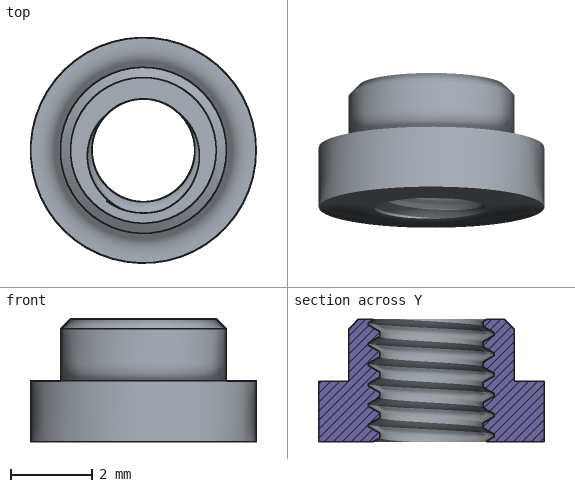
import cadquery as cq
import math

flange_diameter = 5.56
flange_height = 1.5
boss_diameter = 4.09
total_height = 3.03
boss_chamfer = 0.25

minor_diameter = 2.53
major_diameter = 3.09
pitch = 0.5
flank_half_angle = math.radians(30)
crest_land = pitch / 4
groove_centre_angle = -90
bore_overlap = 0.04
overrun_turns = 1

minor_radius = minor_diameter / 2
major_radius = major_diameter / 2


def body():
    """Solid round flange with a chamfered boss on top."""
    flange = cq.Workplane("XY").circle(flange_diameter / 2).extrude(flange_height)
    boss = cq.Workplane("XY").circle(boss_diameter / 2).extrude(total_height)
    boss = boss.faces(">Z").edges().chamfer(boss_chamfer)
    return flange.union(boss)


def bore():
    """Through bore at the thread's minor diameter."""
    return cq.Workplane("XY").circle(minor_radius).extrude(total_height)


def thread_cutter():
    """Helical trapezoid that runs past both ends of the bore."""
    turns = math.ceil(total_height / pitch) + 2 * overrun_turns
    start_z = total_height - (turns - overrun_turns) * pitch
    inner_radius = minor_radius - bore_overlap
    flank_slope = math.tan(flank_half_angle)
    bore_half_width = (pitch - crest_land) / 2
    root_half_width = bore_half_width - (major_radius - minor_radius) * flank_slope
    mouth_half_width = bore_half_width + bore_overlap * flank_slope
    path = cq.Wire.makeHelix(pitch, turns * pitch, minor_radius)
    cutter = (
        cq.Workplane("XZ")
        .moveTo(inner_radius, -mouth_half_width)
        .lineTo(major_radius, -root_half_width)
        .lineTo(major_radius, root_half_width)
        .lineTo(inner_radius, mouth_half_width)
        .close()
        .sweep(cq.Workplane(path), isFrenet=True)
    )
    return cutter.rotate((0, 0, 0), (0, 0, 1), groove_centre_angle).translate((0, 0, start_z))


result = body().cut(thread_cutter()).cut(bore())